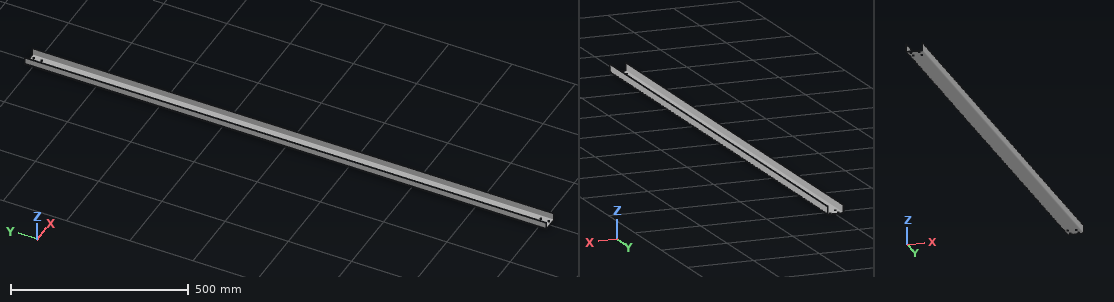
import cadquery as cq

width = 50.0
length = 1650.0
height = 25.0
thickness = 2.5
inner_bend_radius = thickness / 2
outer_bend_radius = inner_bend_radius + thickness

hole_diameter = 4.2
hole_spacing_x = 25.0
hole_end_distances = (10.0, 35.0)


def channel():
    """U-shaped bent sheet, open at the top, running along Y."""
    outer = cq.Workplane("XY").box(width, length, height, centered=(True, True, False))
    outer = outer.edges("|Y and <Z").fillet(outer_bend_radius)
    inner = (
        cq.Workplane("XY")
        .workplane(offset=thickness)
        .box(width - 2 * thickness, length, height, centered=(True, True, False))
        .edges("|Y and <Z")
        .fillet(inner_bend_radius)
    )
    return outer.cut(inner)


def web_holes():
    """Through holes in the web, in pairs near both ends."""
    centers = [
        (side * hole_spacing_x / 2, end * (length / 2 - distance))
        for side in (-1, 1)
        for end in (-1, 1)
        for distance in hole_end_distances
    ]
    return cq.Workplane("XY").pushPoints(centers).circle(hole_diameter / 2).extrude(thickness)


result = channel().cut(web_holes())